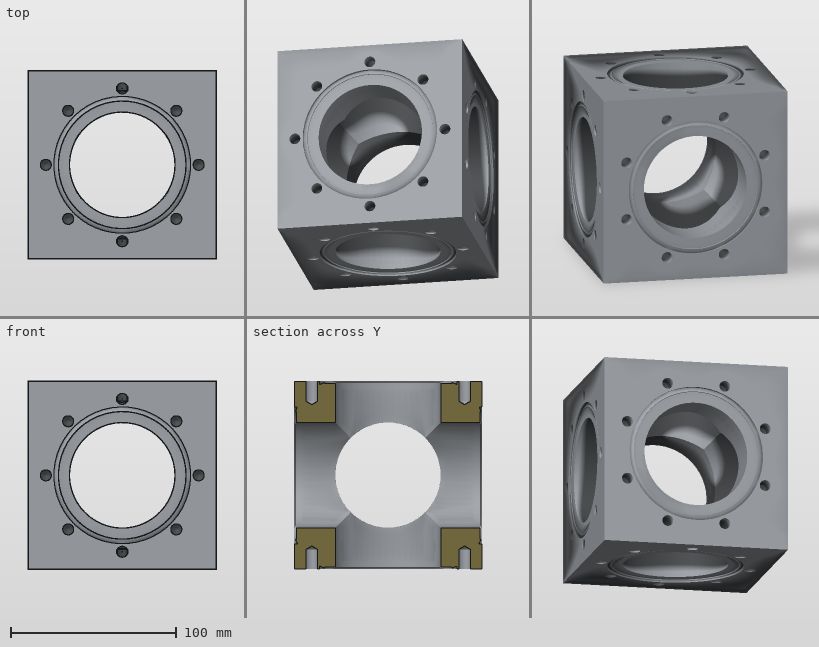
import cadquery as cq
import math

SIDE = 113.5
BORE_DIA = 63.5

RECESS_DIA = 82.5
KNIFE_DIA = 77.1
SEAT_DIA = 76.8
KNIFE_TIP_DEPTH = 0.6
SEAT_DEPTH = 1.2
GROOVE_DEPTH = 1.8

SCREW_COUNT = 8
SCREW_CIRCLE_DIA = 92.2
SCREW_DIA = 6.65
SCREW_DEPTH = 12.0
DRILL_POINT_ANGLE = 118.0

BORE_WALL = 0.5

HALF = SIDE / 2
SCREW_CIRCLE_RADIUS = SCREW_CIRCLE_DIA / 2
SCREW_PITCH = 360.0 / SCREW_COUNT

ORIGIN = (0, 0, 0)
X_AXIS = (1, 0, 0)
Y_AXIS = (0, 1, 0)
Z_AXIS = (0, 0, 1)


def turned_profile(points):
    """Solid of revolution about Z from (radius, height) points."""
    return cq.Workplane("XZ").polyline(points).close().revolve(360, (0, 0), (0, 1))


def round_bar(diameter):
    """Cylinder along Z that spans the whole cube."""
    return cq.Workplane("XY").circle(diameter / 2).extrude(HALF, both=True)


def seal_recess():
    """Recess in the +Z face: groove floor rising inward to the knife tip, then a flat seat."""
    return turned_profile([
        (0, HALF),
        (RECESS_DIA / 2, HALF),
        (RECESS_DIA / 2, HALF - GROOVE_DEPTH),
        (KNIFE_DIA / 2, HALF - KNIFE_TIP_DEPTH),
        (SEAT_DIA / 2, HALF - SEAT_DEPTH),
        (0, HALF - SEAT_DEPTH),
    ])


def screw_hole():
    """Blind hole with a drill point, on the Z axis and opening in the +Z face."""
    radius = SCREW_DIA / 2
    floor = HALF - SCREW_DEPTH
    point_height = radius / math.tan(math.radians(DRILL_POINT_ANGLE / 2))
    return turned_profile([(0, HALF), (radius, HALF), (radius, floor), (0, floor - point_height)])


def port_cutters(hole_angles):
    """Seal recess and blind screw holes of a port in the +Z face."""
    cutters = [seal_recess()]
    for angle in hole_angles:
        hole = screw_hole().translate((SCREW_CIRCLE_RADIUS, 0, 0))
        cutters.append(hole.rotate(ORIGIN, Z_AXIS, angle))
    return cutters


def deep_x_holes():
    """Lower screw holes of both X faces, ending at the wall around the vertical bore."""
    half_pitch = math.radians(SCREW_PITCH / 2)
    across = SCREW_CIRCLE_RADIUS * math.sin(half_pitch)
    drop = SCREW_CIRCLE_RADIUS * math.cos(half_pitch)
    bore_wall = round_bar(BORE_DIA + 2 * BORE_WALL)
    holes = []
    for y in (-across, across):
        hole = round_bar(SCREW_DIA).rotate(ORIGIN, Y_AXIS, 90).translate((0, y, -drop))
        holes.append(hole.cut(bore_wall))
    return holes


aligned_angles = [i * SCREW_PITCH for i in range(SCREW_COUNT)]

staggered_angles = [(i + 0.5) * SCREW_PITCH for i in range(1, SCREW_COUNT - 1)]

result = cq.Workplane("XY").box(SIDE, SIDE, SIDE)

result = result.cut(round_bar(BORE_DIA))
result = result.cut(round_bar(BORE_DIA).rotate(ORIGIN, X_AXIS, 90))
result = result.cut(round_bar(BORE_DIA).rotate(ORIGIN, Y_AXIS, 90))

for face_angle in (0, 90, 180, 270):
    for cutter in port_cutters(aligned_angles):
        result = result.cut(cutter.rotate(ORIGIN, X_AXIS, face_angle))

for face_angle in (0, 180):
    for cutter in port_cutters(staggered_angles):
        on_plus_x = cutter.rotate(ORIGIN, Y_AXIS, 90)
        result = result.cut(on_plus_x.rotate(ORIGIN, Z_AXIS, face_angle))

for hole in deep_x_holes():
    result = result.cut(hole)

result = result.solids()